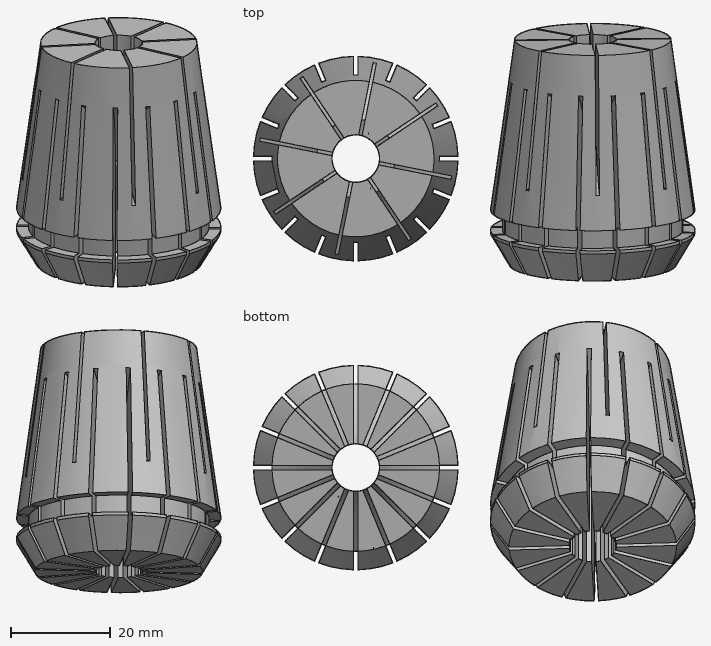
import cadquery as cq
import math

length = 46.0
max_radius = 20.5
top_radius = 15.7
bottom_radius = 16.8
bore_radius = 4.75

rim_start_z = 6.35
groove_bottom_z = 7.0
groove_top_z = 11.1
groove_radius = 18.12

lower_slot_count = 16
lower_slot_width = 0.87
lower_slot_bore_z = 22.65
lower_slot_side_z = 37.85
lower_slot_arc_radius = 26.7

upper_slot_count = 8
upper_slot_width = 0.7
upper_slot_side_z = 18.1
upper_slot_ridge_radius = 7.85
upper_slot_ridge_z = 25.65
upper_slot_arc_radius = 17.0
upper_slot_center_arc_radius = 29.9
upper_slot_first_angle = (1 + 1 / 2) * 360 / lower_slot_count

cutter_overrun = 2.3
cutter_reach = max_radius + cutter_overrun


def taper_radius(z):
    """Radius of the long outer taper at height z."""
    fraction = (z - groove_top_z) / (length - groove_top_z)
    return max_radius + fraction * (top_radius - max_radius)


def arc_middle(start, end, radius):
    """Middle point of an arc that bulges to the left of the start-to-end direction."""
    chord_r = end[0] - start[0]
    chord_z = end[1] - start[1]
    chord = math.hypot(chord_r, chord_z)
    bulge = radius - math.sqrt(radius**2 - (chord / 2) ** 2)
    middle_r = (start[0] + end[0]) / 2 - bulge * chord_z / chord
    middle_z = (start[1] + end[1]) / 2 + bulge * chord_r / chord
    return middle_r, middle_z


def make_body():
    """Revolved collet blank with the through bore."""
    return (
        cq.Workplane("XZ")
        .moveTo(bore_radius, 0)
        .lineTo(bottom_radius, 0)
        .lineTo(max_radius, rim_start_z)
        .lineTo(max_radius, groove_bottom_z)
        .lineTo(groove_radius, groove_bottom_z)
        .lineTo(groove_radius, groove_top_z)
        .lineTo(max_radius, groove_top_z)
        .lineTo(top_radius, length)
        .lineTo(bore_radius, length)
        .close()
        .revolve(360, (0, 0, 0), (0, 1, 0))
    )


def make_lower_cutter():
    """Radial blade along +X whose upper edge curves from the bore up to the taper."""
    bore_end = (bore_radius, lower_slot_bore_z)
    side_end = (taper_radius(lower_slot_side_z), lower_slot_side_z)
    return (
        cq.Workplane("XZ")
        .moveTo(0, -cutter_overrun)
        .lineTo(0, lower_slot_bore_z)
        .lineTo(*bore_end)
        .threePointArc(arc_middle(bore_end, side_end, lower_slot_arc_radius), side_end)
        .lineTo(cutter_reach, lower_slot_side_z)
        .lineTo(cutter_reach, -cutter_overrun)
        .close()
        .extrude(lower_slot_width / 2, both=True)
    )


def make_upper_cutter():
    """Radial blade along +X whose lower edge dips at the axis, peaks, then curves down to the taper."""
    axis_drop = upper_slot_center_arc_radius - math.sqrt(
        upper_slot_center_arc_radius**2 - upper_slot_ridge_radius**2
    )
    axis_end = (0, upper_slot_ridge_z - axis_drop)
    ridge = (upper_slot_ridge_radius, upper_slot_ridge_z)
    side_end = (taper_radius(upper_slot_side_z), upper_slot_side_z)
    center_middle = arc_middle(ridge, axis_end, upper_slot_center_arc_radius)
    side_middle = arc_middle(side_end, ridge, upper_slot_arc_radius)
    return (
        cq.Workplane("XZ")
        .moveTo(0, length + cutter_overrun)
        .lineTo(*axis_end)
        .threePointArc(center_middle, ridge)
        .threePointArc(side_middle, side_end)
        .lineTo(cutter_reach, upper_slot_side_z)
        .lineTo(cutter_reach, length + cutter_overrun)
        .close()
        .extrude(upper_slot_width / 2, both=True)
    )


def cut_around(body, cutter, count, first_angle):
    """Cut evenly spaced copies of a radial cutter around the Z axis."""
    for index in range(count):
        angle = first_angle + index * 360 / count
        body = body.cut(cutter.rotate((0, 0, 0), (0, 0, 1), angle))
    return body


body = make_body()
body = cut_around(body, make_lower_cutter(), lower_slot_count, 0)
result = cut_around(body, make_upper_cutter(), upper_slot_count, upper_slot_first_angle)